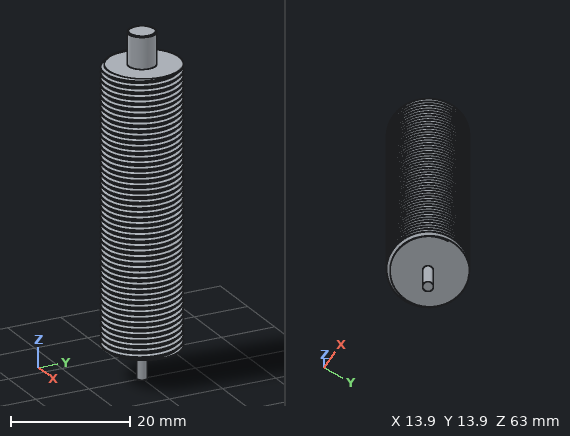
import cadquery as cq
import math

major_diameter = 13.9
minor_diameter = 12.7
body_length = 51.0
thread_turns = 51
pitch = body_length / thread_turns
flank_half_angle = 30.0
crest_width = pitch / 8
crest_below_top = 0.22
root_overlap = 0.1

overall_length = 63.0
top_pin_diameter = 5.0
top_pin_chamfer = 0.2
pin_length = (overall_length - body_length) / 2
bottom_pin_diameter = 1.8


def thread_ridge():
    """Right-handed trapezoidal ridge, running past both ends of the body."""
    crest_radius = major_diameter / 2
    base_radius = minor_diameter / 2 - root_overlap
    flank_height = (crest_radius - base_radius) * math.tan(math.radians(flank_half_angle))
    crest_half = crest_width / 2
    base_half = crest_half + flank_height

    turns = thread_turns + 2
    start_z = body_length - crest_below_top - (turns - 1) * pitch
    helix = cq.Wire.makeHelix(pitch, turns * pitch, base_radius, center=cq.Vector(0, 0, start_z))
    return (
        cq.Workplane("XZ")
        .polyline([
            (base_radius, start_z - base_half),
            (crest_radius, start_z - crest_half),
            (crest_radius, start_z + crest_half),
            (base_radius, start_z + base_half),
        ])
        .close()
        .sweep(cq.Workplane(obj=helix), isFrenet=True)
    )


def threaded_body():
    """Core cylinder with the ridge, cut flat at both end faces."""
    core = cq.Workplane("XY").circle(minor_diameter / 2).extrude(body_length)
    envelope = cq.Workplane("XY").circle(major_diameter).extrude(body_length)
    return core.union(thread_ridge().intersect(envelope))


def top_pin():
    return (
        cq.Workplane("XY", origin=(0, 0, body_length))
        .circle(top_pin_diameter / 2)
        .extrude(pin_length)
        .faces(">Z")
        .chamfer(top_pin_chamfer)
    )


def bottom_pin():
    return cq.Workplane("XY").circle(bottom_pin_diameter / 2).extrude(-pin_length)


result = threaded_body().union(top_pin()).union(bottom_pin())